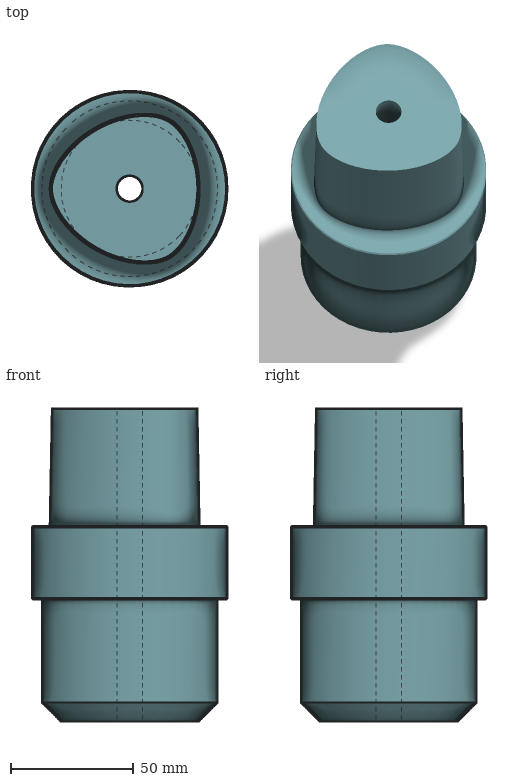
import cadquery as cq
import math

total_height = 128.0
flange_diameter = 80.0
flange_bottom = 50.0
flange_top = 80.0
flange_chamfer = 0.5
body_diameter = 72.0
body_chamfer = 8.0
bore_diameter = 10.5

shank_base_width = 61.3
shank_top_width = 59.5
lobe_offset = 2.0
outline_points = 48


def lobed_outline(width, z):
    """Closed constant-width outline with three lobes, one pointing to -X, at height z."""
    radius = width / 2

    def point(angle):
        x = radius * math.cos(angle) - lobe_offset * (2 * math.cos(2 * angle) - math.cos(4 * angle))
        y = radius * math.sin(angle) + lobe_offset * (2 * math.sin(2 * angle) + math.sin(4 * angle))
        return (x, y, z)

    step = 2 * math.pi / outline_points
    points = [cq.Vector(point(math.pi + i * step)) for i in range(outline_points)]
    return cq.Wire.assembleEdges([cq.Edge.makeSpline(points, periodic=True)])


def cylindrical_body():
    body = cq.Workplane("XY").circle(body_diameter / 2).extrude(flange_bottom)
    return body.faces("<Z").chamfer(body_chamfer)


def flange():
    disc = cq.Workplane("XY").workplane(offset=flange_bottom).circle(flange_diameter / 2)
    return disc.extrude(flange_top - flange_bottom).faces("<Z or >Z").chamfer(flange_chamfer)


def tapered_shank():
    base = lobed_outline(shank_base_width, flange_top)
    top = lobed_outline(shank_top_width, total_height)
    return cq.Workplane(cq.Solid.makeLoft([base, top], True))


def through_bore():
    return cq.Workplane("XY").circle(bore_diameter / 2).extrude(total_height)


result = cylindrical_body().union(flange()).union(tapered_shank()).cut(through_bore())